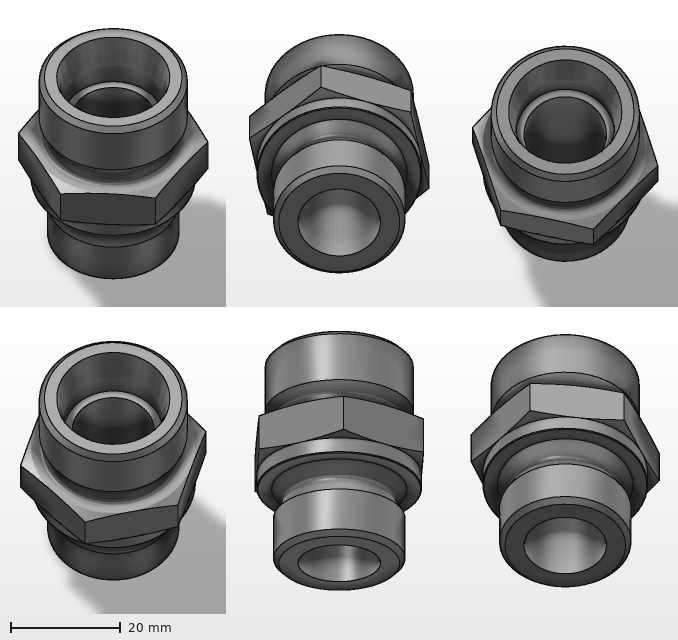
import cadquery as cq
import math

height = 41.0

across_flats = 30.0
hex_bottom = 18.05
hex_top = 26.0
hex_chamfer_angle = 15.0

collar_bottom = 15.1
collar_radius = across_flats / 2
collar_edge = 0.15

stud_radius = 24.0 / 2
stud_top = 9.15
undercut_radius = 21.1 / 2
undercut_bottom = 11.4
undercut_top = 12.63
undercut_upper_radius = 24.7 / 2
neck_flare = 0.15

upper_radius = 27.0 / 2
upper_bottom = 30.65
groove_radius = 24.7 / 2
groove_top = 28.8
groove_flank_angle = 28.0
groove_round = 1.0

end_chamfer = 1.0

bore_radius = 15.0 / 2
socket_radius = 18.0 / 2
socket_depth = 10.15
mouth_radius = 20.62 / 2
mouth_depth = 6.15


def make_turned_body():
    """Revolve the outer profile of studs, undercut, collar and groove."""
    groove_turn = math.radians(groove_flank_angle)
    groove_flare = groove_round * (1 - math.cos(groove_turn))
    groove_round_start = groove_top - groove_round * math.sin(groove_turn)
    neck_mid = (undercut_bottom + undercut_top) / 2
    profile = (
        cq.Workplane("XZ")
        .moveTo(0, 0)
        .lineTo(stud_radius - end_chamfer, 0)
        .lineTo(stud_radius, end_chamfer)
        .lineTo(stud_radius, stud_top)
        .lineTo(undercut_radius + neck_flare, undercut_bottom)
        .threePointArc((undercut_radius, neck_mid), (undercut_radius + neck_flare, undercut_top))
        .lineTo(undercut_upper_radius, collar_bottom)
        .lineTo(collar_radius - collar_edge, collar_bottom)
        .lineTo(collar_radius, collar_bottom + collar_edge)
        .lineTo(collar_radius, hex_bottom)
        .lineTo(groove_radius + groove_round, hex_bottom)
        .lineTo(groove_radius + groove_round, hex_top)
        .radiusArc((groove_radius, hex_top + groove_round), groove_round)
        .lineTo(groove_radius, groove_round_start)
        .radiusArc((groove_radius + groove_flare, groove_top), groove_round)
        .lineTo(upper_radius, upper_bottom)
        .lineTo(upper_radius, height - end_chamfer)
        .lineTo(upper_radius - end_chamfer, height)
        .lineTo(0, height)
        .close()
    )
    return profile.revolve(360, (0, 0, 0), (0, 1, 0))


def make_hexagon():
    """Hexagonal prism with its corners turned off conically at both ends."""
    corner_radius = across_flats / 2 / math.cos(math.pi / 6)
    flat_radius = across_flats / 2
    drop = (corner_radius - flat_radius) * math.tan(math.radians(hex_chamfer_angle))
    prism = (
        cq.Workplane("XY", origin=(0, 0, hex_bottom))
        .polygon(6, 2 * corner_radius)
        .extrude(hex_top - hex_bottom)
        .rotate((0, 0, 0), (0, 0, 1), 30)
    )
    envelope = (
        cq.Workplane("XZ")
        .moveTo(0, hex_bottom)
        .lineTo(flat_radius, hex_bottom)
        .lineTo(corner_radius, hex_bottom + drop)
        .lineTo(corner_radius, hex_top - drop)
        .lineTo(flat_radius, hex_top)
        .lineTo(0, hex_top)
        .close()
        .revolve(360, (0, 0, 0), (0, 1, 0))
    )
    return prism.intersect(envelope)


def make_bore():
    """Through bore, wider socket and conical mouth."""
    return (
        cq.Workplane("XZ")
        .moveTo(0, 0)
        .lineTo(bore_radius, 0)
        .lineTo(bore_radius, height - socket_depth)
        .lineTo(socket_radius, height - socket_depth)
        .lineTo(socket_radius, height - mouth_depth)
        .lineTo(mouth_radius, height)
        .lineTo(0, height)
        .close()
        .revolve(360, (0, 0, 0), (0, 1, 0))
    )


result = make_turned_body().union(make_hexagon()).cut(make_bore())